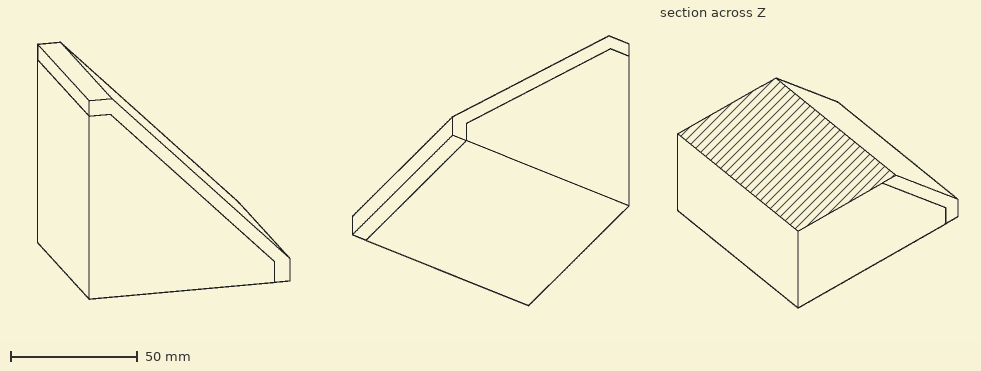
import cadquery as cq

BODY_WIDTH = 74.0
BODY_LEG = 76.0
BODY_END_FLAT = 8.73
RIM_LEG = 82.4
RIM_END_FLAT = 9.4
RIM_SIDE_INSET = 0.1
RIM_LEG_INSET = 0.03

RIM_WIDTH = BODY_WIDTH - 2 * RIM_SIDE_INSET


def corner_wedge(width, leg, end_flat, inset=0.0):
    """Right-angled wedge centred on X, with both sharp tips cut square.

    The right angle sits at (inset, inset) in Y and Z; the tips end at leg.
    """
    profile = [
        (inset, inset),
        (leg, inset),
        (leg, end_flat),
        (end_flat, leg),
        (inset, leg),
    ]
    return cq.Workplane("YZ").polyline(profile).close().extrude(width / 2, both=True)


body = corner_wedge(BODY_WIDTH, BODY_LEG, BODY_END_FLAT)
rim = corner_wedge(RIM_WIDTH, RIM_LEG, RIM_END_FLAT, RIM_LEG_INSET)

result = body.union(rim)